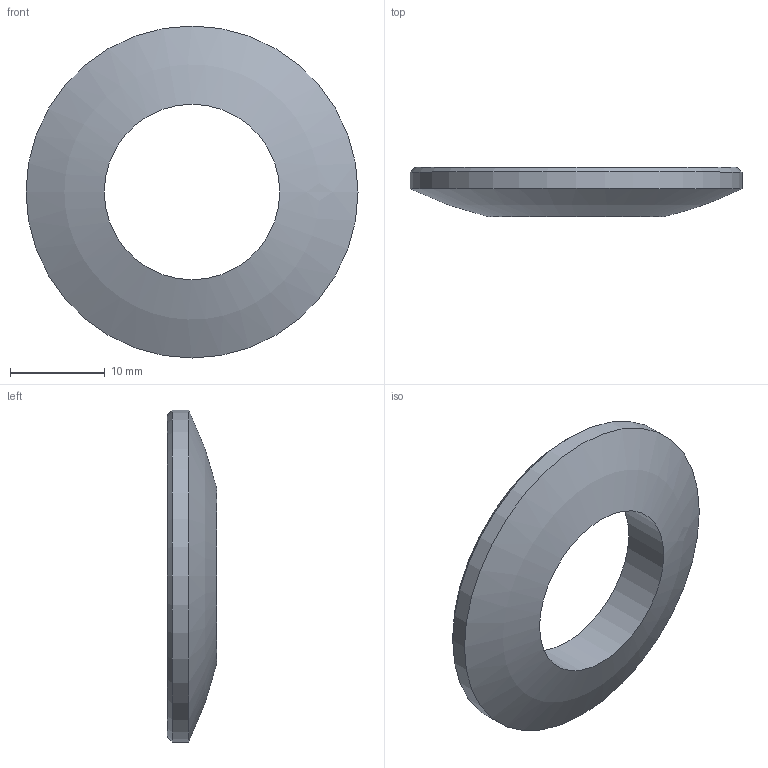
import cadquery as cq
import math

outer_diameter = 35.0
bore_diameter = 18.5
thickness = 5.2
dome_radius = 40.0
back_chamfer = 0.5

outer_radius = outer_diameter / 2
bore_radius = bore_diameter / 2


def dome_height(radius):
    """Distance from the sphere centre, along the axis, to the dome at a given radius."""
    return math.sqrt(dome_radius**2 - radius**2)


front_y = 0.0
back_y = front_y + thickness
sphere_centre_y = front_y + dome_height(bore_radius)
rim_y = sphere_centre_y - dome_height(outer_radius)

mid_radius = (outer_radius + bore_radius) / 2
dome_mid_y = sphere_centre_y - dome_height(mid_radius)

section = (
    cq.Workplane("XY")
    .moveTo(bore_radius, front_y)
    .threePointArc((mid_radius, dome_mid_y), (outer_radius, rim_y))
    .lineTo(outer_radius, back_y - back_chamfer)
    .lineTo(outer_radius - back_chamfer, back_y)
    .lineTo(bore_radius, back_y)
    .close()
)

result = section.revolve(360, (0, 0, 0), (0, 1, 0))